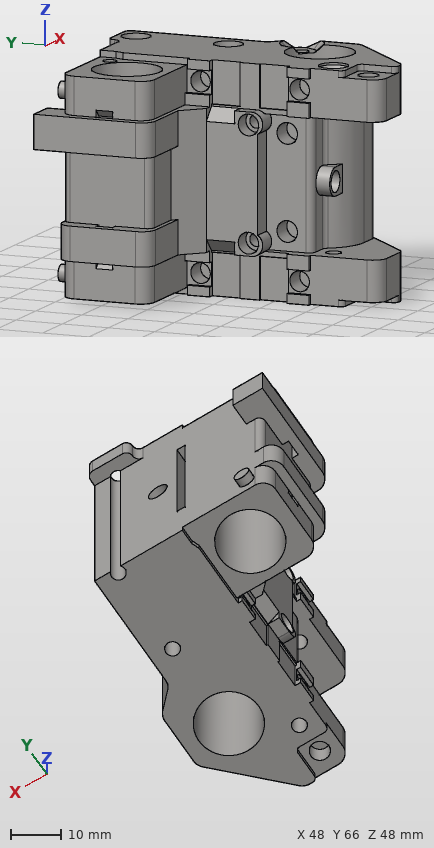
import cadquery as cq
import math

width = 48.0
length = 66.0
height = 48.0
top = height / 2

corner_r = 3.0
small_r = 1.5

body_left = 21.5
body_back = 61.05
neck_right = 42.95
shoulder_sum = 76.6
bevel_offset = 32.4

ear_left = 33.0
ear_back = 64.0
ear_thickness = 4.6

core_half = 14.0
core_left = 23.4
core_front = 15.5
core_flat_front = 10.4
lug_x = 28.0

shaft_x = 37.55
shaft_y = 20.0
bore_d = 14.2

block_left = 2.0
block_front = 42.0
block_half = 22.65
rear_bore_x = 12.5
rear_bore_y = 51.1
column_left = 3.4

strap_inner = 7.45
strap_outer = 14.65
strap_front = 40.9
tab_width = 7.0

wall_left = 18.9
wall_back = 36.6
wall_front = 25.55
wall_sum = wall_left + wall_back

boss_y = 26.8
boss_z = 12.3
boss_r = strap_outer - boss_z
boss_hole_y = 27.5
boss_hole_z = 12.0
boss_ramp = 2.65
boss_ramp_front = 30.5
screw_counterbore_depth = 3.95
screw_hole_depth = 10.55

pad_left = 20.6
pad_outer_z = 22.0
pad_inner_z = 17.0
front_pad = (15.2, 19.9)
rear_pad = (wall_back, 41.45)
groove_depth = 0.4
groove_inner_z = 15.05
grooves = ((19.9, 26.2), (boss_ramp_front, wall_back))

tapped_d = 2.8
dowel_d = 4.2
wide_d = 4.4
through_d = 3.2
head_d = 6.0
blind_depth = 5.0
lower_hole_x = 25.95


def box(x0, x1, y0, y1, z0, z1):
    """Axis-aligned box between opposite corners."""
    z_low = min(z0, z1)
    size = (x1 - x0, y1 - y0, abs(z1 - z0))
    return cq.Workplane("XY").box(*size, centered=False).translate((x0, y0, z_low))


def rounded_prism(corners, z0, z1):
    """Prism over a polygon; each corner is (x, y, rounding radius)."""
    z_low = min(z0, z1)
    points = [(x, y) for x, y, _ in corners]
    prism = cq.Workplane("XY").workplane(offset=z_low).polyline(points).close().extrude(abs(z1 - z0))
    for x, y, radius in corners:
        if radius > 0:
            edge = cq.selectors.NearestToPointSelector((x, y, (z0 + z1) / 2))
            prism = prism.edges("|Z").edges(edge).fillet(radius)
    return prism


def z_cylinder(x, y, diameter, z0, z1):
    """Cylinder between two heights."""
    z_low = min(z0, z1)
    return cq.Workplane("XY").circle(diameter / 2).extrude(abs(z1 - z0)).translate((x, y, z_low))


def x_cylinder(x0, y, z, diameter, depth):
    """Cylinder running from x0 toward +X."""
    return cq.Workplane("YZ").circle(diameter / 2).extrude(depth).translate((x0, y, z))


def y_cylinder(x, y0, z, diameter, depth):
    """Cylinder running from y0 toward +Y."""
    return cq.Workplane("XZ").circle(diameter / 2).extrude(-depth).translate((x, y0, z))


def body_prism(z0, z1):
    """Full outline of the body, without ear and pads, between two heights."""
    corners = [
        (body_left, 0, corner_r),
        (bevel_offset, 0, corner_r),
        (width, width - bevel_offset, corner_r),
        (width, shoulder_sum - width, corner_r),
        (neck_right, shoulder_sum - neck_right, corner_r),
        (neck_right, body_back, 0),
        (body_left, body_back, 0),
    ]
    return rounded_prism(corners, z0, z1)


def ear():
    """Rear ear whose left side is an S of two equal quarter arcs."""
    ear_r = (ear_back - body_back) / 2
    overlap = 6.6
    ear_front = body_back - overlap
    profile = (
        cq.Workplane("XY")
        .moveTo(ear_left - ear_r, ear_front)
        .lineTo(ear_left - ear_r, body_back)
        .radiusArc((ear_left, body_back + ear_r), -ear_r)
        .radiusArc((ear_left + ear_r, ear_back), ear_r)
        .lineTo(neck_right - ear_r, ear_back)
        .radiusArc((neck_right, ear_back - ear_r), ear_r)
        .lineTo(neck_right, ear_front)
        .close()
    )
    return profile.extrude(ear_thickness).translate((0, 0, top - ear_thickness))


def core():
    """Middle layer: set back from the plates and wrapped around the front bore."""
    wrap_r = 9.6
    shape = box(core_left, width, core_front, body_back, -core_half, core_half)
    shape = shape.edges("|Z and <X and <Y").fillet(small_r)
    wrap = z_cylinder(shaft_x, shaft_y, 2 * wrap_r, -core_half, core_half)
    shape = shape.union(wrap)
    seam_x = shaft_x - math.sqrt(wrap_r**2 - (shaft_y - core_front) ** 2)
    seam = cq.selectors.NearestToPointSelector((seam_x, core_front, 0))
    shape = shape.edges("|Z").edges(seam).fillet(small_r)
    bevel_x = core_flat_front + bevel_offset
    flat = [
        (shaft_x, core_flat_front, 0),
        (bevel_x, core_flat_front, corner_r),
        (width, width - bevel_offset, 0),
        (width, shaft_y, 0),
        (shaft_x, shaft_y, 0),
    ]
    shape = shape.union(rounded_prism(flat, -core_half, core_half))
    return shape.intersect(body_prism(-core_half, core_half))


def lug():
    """Half-round lug for the long cross hole."""
    lug_right = 31.75
    lug_front = 12.55
    lug_r = 3.0
    depth = shaft_y - lug_front
    shape = y_cylinder(lug_x, lug_front, 0, 2 * lug_r, depth)
    shape = shape.union(box(lug_x, lug_right, lug_front, shaft_y, -lug_r, lug_r))
    return shape.cut(z_cylinder(shaft_x, shaft_y, bore_d, -top, top))


def clamp_block():
    """Block around the rear bore: a narrower column between two end blocks."""

    def layer(left, radius, z0, z1):
        corners = [
            (left, block_front, radius),
            (body_left, block_front, 0),
            (body_left, body_back, 0),
            (left, body_back, radius),
        ]
        return rounded_prism(corners, z0, z1)

    shape = layer(column_left, small_r, -strap_outer, strap_outer)
    for side in (1, -1):
        shape = shape.union(layer(block_left, corner_r, side * strap_outer, side * block_half))
    return shape


def strap(side, back_radius):
    """Strap around the block; back_radius rounds its rear left corner."""
    corners = [
        (0, strap_front, corner_r),
        (wall_sum - strap_front, strap_front, 0),
        (wall_sum - strap_front, body_back, 0),
        (0, body_back, back_radius),
    ]
    return rounded_prism(corners, side * strap_inner, side * strap_outer)


def tie_slot(side):
    """Slot through a strap along the column, ramping out through the block."""
    slot_front = 49.75
    slot_back = 53.3
    reach = column_left - block_left
    profile = [
        (block_left, side * strap_inner),
        (column_left, side * strap_inner),
        (column_left, side * strap_outer),
        (block_left, side * (strap_outer + reach)),
    ]
    slot = cq.Workplane("XZ").polyline(profile).close().extrude(slot_front - slot_back)
    return slot.translate((0, slot_front, 0))


def wall():
    """Wall with a wedge face toward the block and two screw bosses."""
    wedge = [
        (wall_sum - block_front, block_front, 0),
        (wall_left, wall_back, 0),
        (wall_left, boss_y, 0),
        (core_left, boss_y, 0),
        (core_left, block_front, 0),
    ]
    shape = rounded_prism(wedge, -strap_outer, strap_outer)
    shape = shape.union(box(wall_left, core_left, wall_front, boss_y, -boss_z, boss_z))
    for side in (1, -1):
        boss = x_cylinder(wall_left, boss_y, side * boss_z, 2 * boss_r, core_left - wall_left)
        shape = shape.union(boss)
        ramp = [
            (wall_left, side * (strap_outer - boss_ramp)),
            (wall_left + boss_ramp, side * strap_outer),
            (wall_left, side * strap_outer),
        ]
        cutter = cq.Workplane("XZ").polyline(ramp).close().extrude(boss_ramp_front - wall_back)
        shape = shape.cut(cutter.translate((0, boss_ramp_front, 0)))
    return shape


def pads(side):
    """Thin pads above and below the holes on the left face."""
    outer = side * pad_outer_z
    inner = side * pad_inner_z
    shape = box(pad_left, body_left, *front_pad, outer, side * top)
    shape = shape.union(box(pad_left, body_left, *front_pad, side * core_half, inner))
    shape = shape.union(box(pad_left, body_left, *rear_pad, outer, side * top))
    return shape.union(box(pad_left, body_left, wall_back, block_front, side * strap_outer, inner))


def corner_recess(side):
    """Shallow step at the lower corner, its two mouths flared."""
    recess_right = 29.5
    recess_back = 8.05
    flare = 1.05
    floor = min(side * block_half, side * top)
    profile = (
        cq.Workplane("XY")
        .moveTo(body_left, 0)
        .lineTo(recess_right + flare, 0)
        .radiusArc((recess_right, flare), flare)
        .lineTo(recess_right, recess_back - flare)
        .radiusArc((recess_right - flare, recess_back), -flare)
        .lineTo(body_left + flare, recess_back)
        .radiusArc((body_left, recess_back + flare), flare)
        .close()
    )
    return profile.extrude(top - block_half).translate((0, 0, floor))


def back_relief(side):
    """Thin step beside the block, easing the body edge near the back."""
    relief_x = 22.2
    relief_front = 55.85
    relief_full = 57.55
    corners = [
        (body_left, relief_front, 0),
        (relief_x, relief_full, 0),
        (relief_x, body_back, 0),
        (body_left, body_back, 0),
    ]
    return rounded_prism(corners, side * block_half, side * top)


def shoulder_seat():
    """Screw seat with 45 degree sides, open toward the shoulder."""
    seat_x = 44.2
    seat_y = 26.65
    seat_r = 2.9
    seat_depth = 1.6
    open_angle = math.radians(30)
    end_x = seat_x + seat_r * math.cos(open_angle)
    end_y = seat_y - seat_r * math.sin(open_angle)
    run = (seat_y + seat_r - end_y) / math.cos(open_angle)
    tip_x = end_x + run * math.sin(open_angle)
    far_x = seat_x - seat_r * math.sin(open_angle)
    far_y = seat_y - seat_r * math.cos(open_angle)
    seat = (
        cq.Workplane("XY")
        .moveTo(seat_x, seat_y + seat_r)
        .threePointArc((far_x, far_y), (end_x, end_y))
        .lineTo(tip_x, seat_y + seat_r)
        .close()
        .extrude(seat_depth, taper=-45)
        .translate((0, 0, top - seat_depth))
    )
    return seat.union(z_cylinder(seat_x, seat_y, tapped_d, top - seat_depth - blind_depth, top))


def mounting_holes():
    """Two through holes, counterbored from the top."""
    head_depth = 2.85
    mount_x = 38.0
    mount_ys = (40.0, 60.0)
    holes = cq.Workplane("XY")
    for y in mount_ys:
        holes = holes.union(z_cylinder(mount_x, y, through_d, -top, top))
        holes = holes.union(z_cylinder(mount_x, y, head_d, top - head_depth, top))
    return holes


def countersunk_hole():
    """Vertical hole near the lower corner; a short straight lip leads into the cone."""
    hole_y = 12.1
    lip = 0.45
    cone_depth = (head_d - through_d) / 2
    cone = cq.Workplane("XY").circle(through_d / 2).extrude(cone_depth, taper=-45)
    hole = cone.translate((lower_hole_x, hole_y, top - lip - cone_depth))
    hole = hole.union(z_cylinder(lower_hole_x, hole_y, head_d, top - lip, top))
    return hole.union(z_cylinder(lower_hole_x, hole_y, through_d, -top, top))


def tapped_hole():
    """Small blind hole in the top of the clamp block."""
    hole_x = 19.1
    hole_y = 57.6
    return z_cylinder(hole_x, hole_y, tapped_d, block_half - blind_depth, block_half)


def back_pin(side):
    """Short pin on the back of the clamp block."""
    pin_x = 6.9
    pin_z = 18.6
    pin_d = 3.5
    pin_end = 62.95
    return y_cylinder(pin_x, body_back, side * pin_z, pin_d, pin_end - body_back)


def blind_holes(side):
    """Blind holes in the corner recess, the body face, the core face and the screw boss."""
    recess_hole_y = 4.55
    face_hole_ys = (17.55, 39.0)
    face_hole_z = side * 19.5
    core_hole_y = 21.05
    core_hole_z = side * 9.95
    recess_floor = side * block_half
    recess_end = recess_floor - side * blind_depth
    holes = z_cylinder(lower_hole_x, recess_hole_y, dowel_d, recess_end, recess_floor)
    for y in face_hole_ys:
        holes = holes.union(x_cylinder(body_left, y, face_hole_z, dowel_d, blind_depth))
    holes = holes.union(x_cylinder(core_left, core_hole_y, core_hole_z, wide_d, blind_depth))
    screw_z = side * boss_hole_z
    holes = holes.union(x_cylinder(wall_left, boss_hole_y, screw_z, wide_d, screw_counterbore_depth))
    return holes.union(x_cylinder(wall_left, boss_hole_y, screw_z, tapped_d, screw_hole_depth))


def shaft_bores():
    """The two full-height shaft bores."""
    bores = z_cylinder(shaft_x, shaft_y, bore_d, -top, top)
    return bores.union(z_cylinder(rear_bore_x, rear_bore_y, bore_d, -top, top))


result = core().union(clamp_block()).union(wall()).union(ear())
for side in (1, -1):
    result = result.union(body_prism(side * core_half, side * top))
    result = result.union(pads(side))
    for y0, y1 in grooves:
        groove = box(body_left, body_left + groove_depth, y0, y1, side * groove_inner_z, side * top)
        result = result.cut(groove)

result = result.union(strap(1, 0)).union(strap(-1, corner_r))
result = result.union(box(0, tab_width, body_back, length, strap_inner, strap_outer))

result = result.cut(shaft_bores())
result = result.cut(mounting_holes()).cut(countersunk_hole())
result = result.cut(shoulder_seat()).cut(tapped_hole())
for side in (1, -1):
    result = result.union(back_pin(side))
    result = result.cut(tie_slot(side)).cut(back_relief(side)).cut(corner_recess(side))
    result = result.cut(blind_holes(side))

result = result.union(lug())
result = result.cut(y_cylinder(lug_x, 0, 0, wide_d, length))